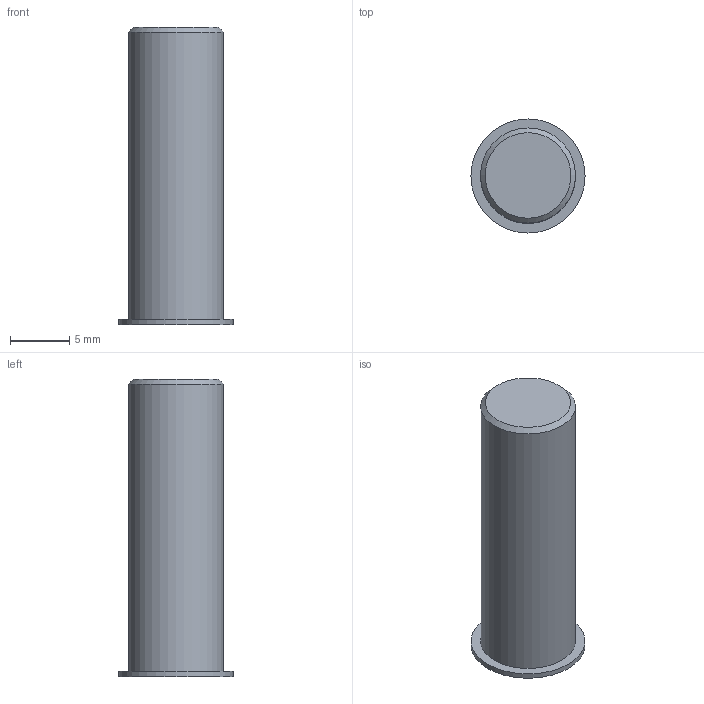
import cadquery as cq

total_length = 25.0
pin_diameter = 8.0
flange_diameter = 9.6
flange_thickness = 0.43
tip_chamfer = 0.4


def make_flange():
    """Thin round flange at the foot of the pin, resting on Z = 0."""
    return cq.Workplane("XY").circle(flange_diameter / 2).extrude(flange_thickness)


def make_pin():
    """Full-length cylindrical pin with a chamfered tip."""
    pin = cq.Workplane("XY").circle(pin_diameter / 2).extrude(total_length)
    return pin.faces(">Z").edges().chamfer(tip_chamfer)


result = make_flange().union(make_pin())